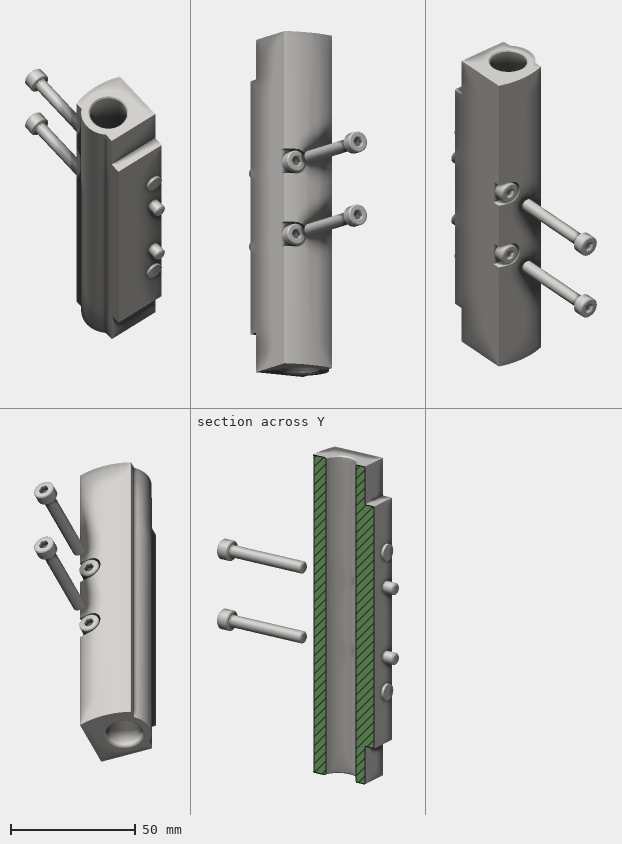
import cadquery as cq
import math

HOUSING_LENGTH = 136.0
BACK_Y = 14.5
SHOULDER_Y = -7.5
BORE_WALL_RADIUS = 11.0
CROWN_X = -13.5
CROWN_EDGE_X = -11.5
BODY_FACE_X = 12.0
PAD_FACE_X = 16.5
PAD_LENGTH = 103.6
BORE_DIAMETER = 15.0
BORE_MOUTH_DIAMETER = 16.0
CORNER_RADIUS = 0.4

FASTENER_Y = 10.0
SCREW_SPACING = 29.9
PIN_SPACING = 2 * SCREW_SPACING

SHANK_DIAMETER = 5.0
HEAD_DIAMETER = 8.5
HEAD_LENGTH = 5.0
HEAD_CHAMFER = 0.4
TIP_CHAMFER = 0.5
COLLAR_DIAMETER = 5.5
COLLAR_LENGTH = 0.4
SOCKET_ACROSS_FLATS = 3.5
SOCKET_DEPTH = 2.5
SOCKET_MOUTH_DIAMETER = 4.5
SOCKET_CONE_ANGLE = 120
LONG_SCREW_LENGTH = 40.0
SHORT_SCREW_LENGTH = 35.0
LOOSE_SCREW_X = -63.5

SLOT_WIDTH = 10.0
SLOT_FLOOR_X = CROWN_X + HEAD_LENGTH

PIN_DIAMETER = 7.0
PIN_PROJECTION = 1.2
PIN_SEAT_X = BODY_FACE_X


def cylinder_along_x(diameter, start_x, end_x, z):
    """Cylinder on the fastener line at height z."""
    return (
        cq.Workplane("YZ", origin=(start_x, FASTENER_Y, z))
        .circle(diameter / 2)
        .extrude(end_x - start_x)
    )


def cone_along_x(diameter, base_x, z):
    """Cone on the fastener line with its base at base_x and its point toward +X."""
    height = diameter / 2 / math.tan(math.radians(SOCKET_CONE_ANGLE / 2))
    cone = cq.Solid.makeCone(
        diameter / 2, 0, height, pnt=cq.Vector(base_x, FASTENER_Y, z), dir=cq.Vector(1, 0, 0)
    )
    return cq.Workplane(obj=cone)


def make_socket(head_x, z):
    """Hexagon socket with a countersunk mouth and a conical bottom."""
    corner_diameter = SOCKET_ACROSS_FLATS / math.cos(math.pi / 6)
    hexagon = (
        cq.Workplane("YZ", origin=(head_x, FASTENER_Y, z))
        .polygon(6, corner_diameter)
        .extrude(SOCKET_DEPTH)
    )
    mouth = cone_along_x(SOCKET_MOUTH_DIAMETER, head_x, z)
    bottom = cone_along_x(SOCKET_ACROSS_FLATS, head_x + SOCKET_DEPTH, z)
    return hexagon.union(mouth).union(bottom)


def make_screw(head_x, length, z):
    """Cap screw with its head face at head_x and its tip toward +X."""
    seat_x = head_x + HEAD_LENGTH
    head = cylinder_along_x(HEAD_DIAMETER, head_x, seat_x, z).edges().chamfer(HEAD_CHAMFER)
    shank = cylinder_along_x(SHANK_DIAMETER, seat_x, head_x + length, z).faces(">X").chamfer(TIP_CHAMFER)
    collar = cylinder_along_x(COLLAR_DIAMETER, seat_x, seat_x + COLLAR_LENGTH, z)
    screw = head.union(shank).union(collar)
    return screw.cut(make_socket(head_x, z))


def make_pin(z):
    """Round locating pin standing out of the pad face."""
    return cylinder_along_x(PIN_DIAMETER, PIN_SEAT_X, PAD_FACE_X + PIN_PROJECTION, z)


def make_screw_passage(z):
    """Space for a fitted screw: through hole plus a head slot open to the back."""
    hole = cylinder_along_x(SHANK_DIAMETER, CROWN_X, PAD_FACE_X, z)
    collar_seat = cylinder_along_x(COLLAR_DIAMETER, SLOT_FLOOR_X, SLOT_FLOOR_X + COLLAR_LENGTH, z)
    slot_depth = SLOT_FLOOR_X - CROWN_X
    slot_end = cylinder_along_x(SLOT_WIDTH, CROWN_X, SLOT_FLOOR_X, z)
    slot_run = cq.Workplane("XY").box(
        slot_depth, BACK_Y - FASTENER_Y, SLOT_WIDTH, centered=(False, False, True)
    ).translate((CROWN_X, FASTENER_Y, z))
    return hole.union(collar_seat).union(slot_end).union(slot_run)


def make_profile_bar():
    """Full-length bar: flat back, bulged screw face and a round wall around the bore."""
    wall_edge_x = math.sqrt(BORE_WALL_RADIUS**2 - SHOULDER_Y**2)
    crown_y = (BACK_Y + SHOULDER_Y) / 2
    bar = (
        cq.Workplane("XY", origin=(0, 0, -HOUSING_LENGTH / 2))
        .moveTo(CROWN_EDGE_X, BACK_Y)
        .threePointArc((CROWN_X, crown_y), (CROWN_EDGE_X, SHOULDER_Y))
        .lineTo(-wall_edge_x, SHOULDER_Y)
        .threePointArc((0, -BORE_WALL_RADIUS), (wall_edge_x, SHOULDER_Y))
        .lineTo(BODY_FACE_X, SHOULDER_Y)
        .lineTo(BODY_FACE_X, BACK_Y)
        .close()
        .extrude(HOUSING_LENGTH)
    )
    return bar.edges("|Z").edges("<X").fillet(CORNER_RADIUS)


def make_pad():
    """Raised mounting pad on the +X face, shorter than the bar."""
    pad = cq.Workplane("XY").box(
        PAD_FACE_X - BODY_FACE_X, BACK_Y - SHOULDER_Y, PAD_LENGTH, centered=(False, False, True)
    ).translate((BODY_FACE_X, SHOULDER_Y, 0))
    return pad.edges("|Z and >X").fillet(CORNER_RADIUS)


def make_bore():
    """Through bore with a 45 degree chamfer at each mouth, revolved about Z."""
    bore_radius = BORE_DIAMETER / 2
    mouth_radius = BORE_MOUTH_DIAMETER / 2
    end_z = HOUSING_LENGTH / 2
    chamfer_z = end_z - (mouth_radius - bore_radius)
    return (
        cq.Workplane("XZ")
        .moveTo(0, -end_z)
        .lineTo(mouth_radius, -end_z)
        .lineTo(bore_radius, -chamfer_z)
        .lineTo(bore_radius, chamfer_z)
        .lineTo(mouth_radius, end_z)
        .lineTo(0, end_z)
        .close()
        .revolve()
    )


def make_housing(screw_heights, pin_heights):
    """Housing with its pad, bore, screw passages and pin holes."""
    housing = make_profile_bar().union(make_pad()).cut(make_bore())
    for z in screw_heights:
        housing = housing.cut(make_screw_passage(z))
    for z in pin_heights:
        housing = housing.cut(cylinder_along_x(PIN_DIAMETER, PIN_SEAT_X, PAD_FACE_X, z))
    return housing


screw_heights = [-SCREW_SPACING / 2, SCREW_SPACING / 2]
pin_heights = [-PIN_SPACING / 2, PIN_SPACING / 2]

housing = make_housing(screw_heights, pin_heights)
fitted_screws = [make_screw(CROWN_X, SHORT_SCREW_LENGTH, z) for z in screw_heights]
loose_screws = [make_screw(LOOSE_SCREW_X, LONG_SCREW_LENGTH, z) for z in screw_heights]
pins = [make_pin(z) for z in pin_heights]

small_parts = fitted_screws + loose_screws + pins
result = cq.Compound.makeCompound([housing.val(), *[body.val() for body in small_parts]])